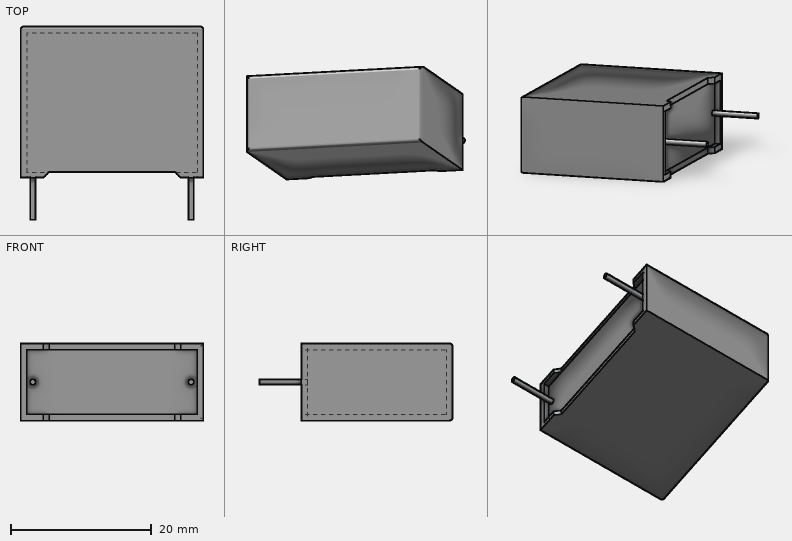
import cadquery as cq

case_width = 26.0
case_height = 11.0
overall_length = 27.5
lead_length = 6.0
wall = 0.9
end_fillet = 0.5
lead_diameter = 0.8
lead_spacing = 22.5
foot_width = 3.25
notch_depth = 0.8

closed_end_y = overall_length / 2
lead_tip_y = -overall_length / 2
rim_y = lead_tip_y + lead_length
potting_face_y = rim_y + notch_depth
cavity_end_y = closed_end_y - wall
cavity_width = case_width - 2 * wall
cavity_height = case_height - 2 * wall


def block(width, height, start_y, end_y):
    """Box centred on the Y axis, running from start_y to end_y."""
    return (
        cq.Workplane("XY")
        .box(width, end_y - start_y, height, centered=(True, False, True))
        .translate((0, start_y, 0))
    )


def rim_notch():
    """Cutter for the relief in both long rims, with 45 degree ends."""
    half_mouth = case_width / 2 - foot_width
    half_floor = half_mouth - notch_depth
    return (
        cq.Workplane("XY")
        .polyline([
            (-half_mouth, rim_y),
            (half_mouth, rim_y),
            (half_floor, potting_face_y),
            (-half_floor, potting_face_y),
        ])
        .close()
        .extrude(case_height / 2, both=True)
    )


def make_case():
    """Open box with a rounded closed end and a relieved rim."""
    body = block(case_width, case_height, rim_y, closed_end_y)
    body = body.faces(">Y").edges().fillet(end_fillet)
    cavity = block(cavity_width, cavity_height, rim_y, cavity_end_y)
    return body.cut(cavity).cut(rim_notch())


def make_potting():
    """Resin block filling the cavity up to the notch floor."""
    return block(cavity_width, cavity_height, potting_face_y, cavity_end_y)


def make_lead(x):
    """Round wire standing on the potting face and pointing to -Y."""
    return (
        cq.Workplane("XZ", origin=(x, potting_face_y, 0))
        .circle(lead_diameter / 2)
        .extrude(potting_face_y - lead_tip_y)
    )


case = make_case()
potting = make_potting()
leads = [make_lead(side * lead_spacing / 2) for side in (-1, 1)]

result = cq.Compound.makeCompound(
    [case.val(), potting.val(), *[lead.val() for lead in leads]]
)